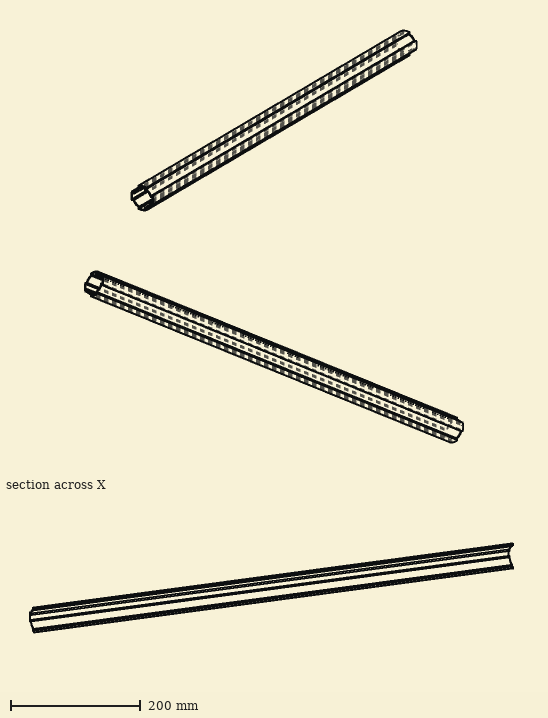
import cadquery as cq
import math

LENGTH = 800.0
LOBE_COUNT = 4
LOBE_PITCH = 360.0 / LOBE_COUNT

CREST_RADIUS = 20.1
VALLEY_RADIUS = 17.1
CREST_HALF_WIDTH = 7.42
ROOT_HALF_WIDTH = 6.6

CREST_WALL = 2.0
VALLEY_WALL = 1.5
BORE_CREST_HALF_WIDTH = 4.5
BORE_ROOT_HALF_WIDTH = 4.0


def polar(radius, angle):
    """Point in the section plane at an angle in degrees from the +X lobe."""
    return (
        radius * math.cos(math.radians(angle)),
        radius * math.sin(math.radians(angle)),
    )


def half_angle(radius, half_width):
    """Angle in degrees from the lobe axis to a point of the circle at that half width."""
    return math.degrees(math.asin(half_width / radius))


def lobed_prism(crest_radius, valley_radius, crest_half_width, root_half_width):
    """Solid bar along Y whose section alternates lobe arcs and valley arcs."""
    crest_angle = half_angle(crest_radius, crest_half_width)
    root_angle = half_angle(valley_radius, root_half_width)
    section = cq.Workplane("XZ", origin=(0, LENGTH / 2, 0))
    section = section.moveTo(*polar(crest_radius, -crest_angle))
    for index in range(LOBE_COUNT):
        axis = index * LOBE_PITCH
        next_axis = axis + LOBE_PITCH
        if index > 0:
            section = section.lineTo(*polar(crest_radius, axis - crest_angle))
        section = section.threePointArc(
            polar(crest_radius, axis),
            polar(crest_radius, axis + crest_angle),
        )
        section = section.lineTo(*polar(valley_radius, axis + root_angle))
        section = section.threePointArc(
            polar(valley_radius, axis + LOBE_PITCH / 2),
            polar(valley_radius, next_axis - root_angle),
        )
    return section.close().extrude(LENGTH)


outside = lobed_prism(
    CREST_RADIUS,
    VALLEY_RADIUS,
    CREST_HALF_WIDTH,
    ROOT_HALF_WIDTH,
)
bore = lobed_prism(
    CREST_RADIUS - CREST_WALL,
    VALLEY_RADIUS - VALLEY_WALL,
    BORE_CREST_HALF_WIDTH,
    BORE_ROOT_HALF_WIDTH,
)

result = outside.cut(bore)